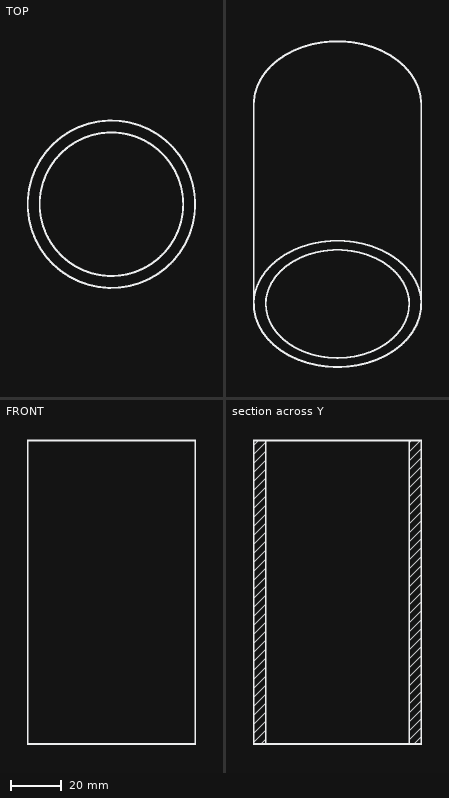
import cadquery as cq

height = 120.0
outer_diameter = 66.2
wall_thickness = 4.8
inner_diameter = outer_diameter - 2 * wall_thickness

result = (
    cq.Workplane("XY")
    .circle(outer_diameter / 2)
    .circle(inner_diameter / 2)
    .extrude(height)
)